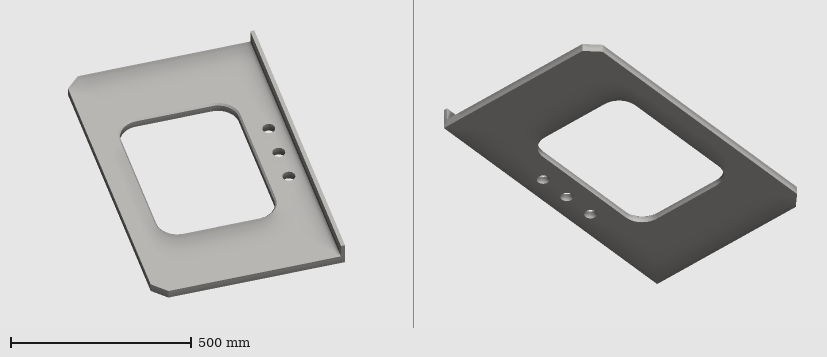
import cadquery as cq

slab_width = 900.0
slab_depth = 550.0
slab_thickness = 25.0
front_corner_cut = 40.0

total_height = 65.0
splash_height = total_height - slab_thickness
splash_thickness = 12.0

opening_width = 471.0
opening_depth = 340.0
opening_corner_radius = 60.0
opening_edge_chamfer = 5.0
opening_center_y = -295.0

faucet_hole_count = 3
faucet_hole_diameter = 36.0
faucet_hole_spacing = 100.0
faucet_hole_y = -60.0


def box_from_back_edge(width, depth, height, bottom_z):
    """Box centred on X that reaches forward from the back edge."""
    return (
        cq.Workplane("XY", origin=(0, -depth / 2, bottom_z))
        .box(width, depth, height, centered=(True, True, False))
    )


def make_slab():
    """Slab with clipped front corners, a chamfered sink opening and faucet holes."""
    slab = box_from_back_edge(slab_width, slab_depth, slab_thickness, 0)
    slab = slab.edges("|Z and <Y").chamfer(front_corner_cut)

    opening = (
        cq.Workplane("XY", origin=(0, opening_center_y, 0))
        .rect(opening_width, opening_depth)
        .extrude(slab_thickness)
        .edges("|Z")
        .fillet(opening_corner_radius)
    )
    slab = slab.cut(opening)
    opening_rim = slab.faces(">Z").val().innerWires()[0]
    slab = slab.newObject(opening_rim.Edges()).chamfer(opening_edge_chamfer)

    faucet_holes = (
        cq.Workplane("XY", origin=(0, faucet_hole_y, 0))
        .rarray(faucet_hole_spacing, 9, faucet_hole_count, 1)
        .circle(faucet_hole_diameter / 2)
        .extrude(slab_thickness)
    )
    return slab.cut(faucet_holes)


def make_backsplash():
    """Full-width upright strip resting on the slab."""
    return box_from_back_edge(slab_width, splash_thickness, splash_height, slab_thickness)


slab = make_slab()
backsplash = make_backsplash()

result = cq.Compound.makeCompound([slab.val(), backsplash.val()])